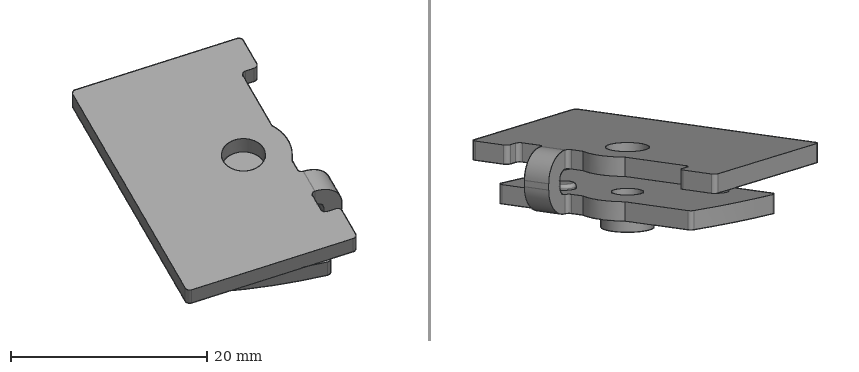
import cadquery as cq
import math

thickness = 2.0
corner_radius = 0.5

upper_length = 30.0
ear_depth = 18.9
rear_edge_y = 16.95
ear_inner_x = 10.53

hole_y = 12.7
bulge_radius = 4.98
upper_hole_diameter = 4.47
lower_hole_diameter = 3.3

strip_left_x = 4.47
strip_width = 3.0
bend_start_y = 17.4
bend_inner_radius = 1.0
plate_gap = 2.65

lower_front_y = 4.95
lower_wide_x = 13.1
lower_narrow_x = 10.68
side_arc_radius = 60.0

boss_diameter = 5.45
boss_height = 1.65
boss_fillet = 0.5
pin_diameter = 2.52
pin_height = 0.55
pin_fillet = 0.4
pin_centers = [(-7.25, 7.2), (6.45, 14.7)]

bend_outer_radius = bend_inner_radius + thickness
bend_straight = plate_gap - 2 * bend_inner_radius
upper_z = plate_gap
strip_right_x = strip_left_x + strip_width
root_fillet = bend_start_y - rear_edge_y


def add_bulge_and_tab(plate, bottom_z):
    """Add the rear bulge and the root of the folded strip to a plate."""
    bulge = cq.Workplane(origin=(0, hole_y, bottom_z)).circle(bulge_radius).extrude(thickness)
    plate = plate.union(bulge)
    tab = cq.Workplane(origin=(strip_left_x, hole_y, bottom_z)).rect(
        strip_width, bend_start_y - hole_y, centered=False).extrude(thickness)
    plate = plate.union(tab)
    for edge_x, side in ((strip_left_x, -1), (strip_right_x, 1)):
        web = (
            cq.Workplane(origin=(edge_x, rear_edge_y, bottom_z))
            .lineTo(side * root_fillet, 0)
            .radiusArc((0, root_fillet), side * root_fillet)
            .close()
            .extrude(thickness)
        )
        plate = plate.union(web)
    return plate


def make_upper_plate():
    half_length = upper_length / 2
    plate = (
        cq.Workplane(origin=(0, 0, upper_z))
        .polyline([
            (-half_length, 0), (half_length, 0),
            (half_length, ear_depth), (ear_inner_x, ear_depth),
            (ear_inner_x, rear_edge_y), (-ear_inner_x, rear_edge_y),
            (-ear_inner_x, ear_depth), (-half_length, ear_depth),
        ])
        .close()
        .extrude(thickness)
        .edges("|Z").fillet(corner_radius)
    )
    return add_bulge_and_tab(plate, upper_z)


def make_lower_plate():
    plate = (
        cq.Workplane(origin=(0, 0, -thickness))
        .moveTo(-lower_wide_x, lower_front_y)
        .lineTo(lower_narrow_x, lower_front_y)
        .radiusArc((lower_wide_x, rear_edge_y), -side_arc_radius)
        .lineTo(-lower_narrow_x, rear_edge_y)
        .radiusArc((-lower_wide_x, lower_front_y), -side_arc_radius)
        .close()
        .extrude(thickness)
        .edges("|Z").fillet(corner_radius)
    )
    return add_bulge_and_tab(plate, -thickness)


def make_bend():
    """Strip folded back on itself, drawn as a Y-Z profile and extruded along X."""
    diagonal = math.sqrt(0.5)
    low_z = bend_inner_radius
    high_z = low_z + bend_straight

    def on_arc(radius, center_z, vertical):
        return bend_start_y + radius * diagonal, center_z + vertical * radius * diagonal

    outer_y = bend_start_y + bend_outer_radius
    inner_y = bend_start_y + bend_inner_radius
    return (
        cq.Workplane("YZ", origin=(strip_left_x, 0, 0))
        .moveTo(bend_start_y, -thickness)
        .threePointArc(on_arc(bend_outer_radius, low_z, -1), (outer_y, low_z))
        .lineTo(outer_y, high_z)
        .threePointArc(on_arc(bend_outer_radius, high_z, 1), (bend_start_y, upper_z + thickness))
        .lineTo(bend_start_y, upper_z)
        .threePointArc(on_arc(bend_inner_radius, high_z, 1), (inner_y, high_z))
        .lineTo(inner_y, low_z)
        .threePointArc(on_arc(bend_inner_radius, low_z, -1), (bend_start_y, 0))
        .close()
        .extrude(strip_width)
    )


def make_boss():
    """Round boss below the lower plate, flared where it meets the plate."""
    radius = boss_diameter / 2
    flare_radius = radius + boss_fillet
    return (
        cq.Workplane("XZ", origin=(0, hole_y, -thickness))
        .lineTo(flare_radius, 0)
        .radiusArc((radius, -boss_fillet), -boss_fillet)
        .lineTo(radius, -boss_height)
        .lineTo(0, -boss_height)
        .close()
        .revolve(360, (0, 0), (0, 1))
    )


def make_pins():
    return (
        cq.Workplane()
        .pushPoints(pin_centers)
        .circle(pin_diameter / 2)
        .extrude(pin_height)
        .faces(">Z").edges().fillet(pin_fillet)
    )


def make_hole(diameter, bottom_z, depth):
    return cq.Workplane(origin=(0, hole_y, bottom_z)).circle(diameter / 2).extrude(depth)


upper_plate = make_upper_plate().cut(make_hole(upper_hole_diameter, upper_z, thickness))
lower_depth = thickness + boss_height
lower_plate = make_lower_plate().union(make_boss()).union(make_pins())
lower_plate = lower_plate.cut(make_hole(lower_hole_diameter, -lower_depth, lower_depth))

result = upper_plate.union(make_bend()).union(lower_plate)